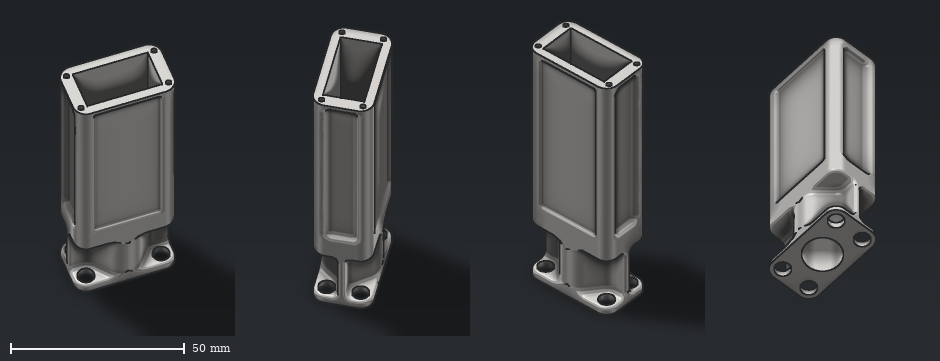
import cadquery as cq
import math

width = 18.0
depth = 31.0
height = 84.5
corner_radius = 4.0
half_width = width / 2
half_depth = depth / 2
straight_half_width = half_width - corner_radius
straight_half_depth = half_depth - corner_radius

flange_top = 2.5
waist_top = 19.5
waist_height = waist_top - flange_top
waist_fillet = 2.0
rim_fillet = 1.0
crown_radius = 6.0
flat_angle = math.radians(40)
root_radius = 4.0
fin_half_width = 1.1
edge_half_width = 0.04
cutter_overhang = 4.2

panel_bottom = 27.55
panel_top = 82.5
front_panel_width = 10.0
front_panel_depth = 2.0
front_panel_rim = 1.7
side_panel_width = 20.95
side_panel_depth = 1.0
side_panel_rim = 1.0

bore_diameter = 12.0
end_wall = 4.0
side_wall = 2.9
floor_thickness = 2.9
cavity_floor = waist_top + floor_thickness

flange_hole_diameter = 5.0
lid_hole_diameter = 1.6
lid_hole_spacing_x = 12.25
lid_hole_spacing_y = 26.9
lid_hole_depth = 8.0
drill_tip_angle = math.radians(118)
drill_tip_height = lid_hole_diameter / 2 / math.tan(drill_tip_angle / 2)

skin_tolerance = 0.01
height_margin = 0.1


def polar(center, radius, angle):
    """Point on a circle, with the angle measured from +X."""
    return (
        center[0] + radius * math.cos(angle),
        center[1] + radius * math.sin(angle),
    )


def both_sides(solid, plane):
    """The solid together with its mirror image."""
    return [solid, solid.mirror(plane)]


def waist_cutter():
    """Material removed at the +X +Y corner, with rounded floor and ceiling."""
    normal_angle = math.pi / 2 - flat_angle
    crown_center = (half_width - crown_radius, edge_half_width)
    flat_start = polar(crown_center, crown_radius, normal_angle)

    root_x = fin_half_width + root_radius
    flat_end_x = root_x - root_radius * math.cos(normal_angle)
    flat_end_y = flat_start[1] + (flat_start[0] - flat_end_x) * math.tan(flat_angle)
    root_center = (root_x, flat_end_y + root_radius * math.sin(normal_angle))
    root_middle = polar(root_center, root_radius, math.pi + normal_angle / 2)

    tip_radius = fin_half_width - edge_half_width
    tip_center = (edge_half_width, half_depth - tip_radius)
    far_x = half_width + cutter_overhang
    far_y = half_depth + cutter_overhang

    cutter = (
        cq.Workplane("XY", origin=(0, 0, flange_top))
        .moveTo(half_width, edge_half_width)
        .threePointArc(polar(crown_center, crown_radius, normal_angle / 2), flat_start)
        .lineTo(flat_end_x, flat_end_y)
        .threePointArc(root_middle, (fin_half_width, root_center[1]))
        .lineTo(fin_half_width, tip_center[1])
        .threePointArc(polar(tip_center, tip_radius, math.pi / 4), (edge_half_width, half_depth))
        .lineTo(edge_half_width, far_y)
        .lineTo(far_x, far_y)
        .lineTo(far_x, edge_half_width)
        .close()
        .extrude(waist_height)
    )
    corner_zone = cq.selectors.BoxSelector(
        (0, 0, 0), (half_width, half_depth, height), boundingbox=False
    )
    return cutter.faces("#Z").edges("#Z").edges(corner_zone).fillet(waist_fillet)


def panel_cutter(panel_width, panel_depth):
    """Rounded recess opening toward -Y, with its mouth on the plane y = 0."""
    panel_height = panel_top - panel_bottom
    floor_fillet = 0.999 * panel_depth
    return (
        cq.Workplane("XY", origin=(0, 0, panel_bottom))
        .box(panel_width, 2 * panel_depth, panel_height, centered=(True, True, False))
        .edges("|Y")
        .fillet(panel_depth)
        .faces(">Y")
        .edges()
        .fillet(floor_fillet)
    )


def on_outer_skin(edge):
    """True when the edge lies on the rounded-box outer wall."""
    for fraction in (0, 0.3, 0.5, 0.7, 1):
        point = edge.positionAt(fraction)
        corner_x = max(abs(point.x) - straight_half_width, 0)
        corner_y = max(abs(point.y) - straight_half_depth, 0)
        if abs(math.hypot(corner_x, corner_y) - corner_radius) > skin_tolerance:
            return False
    return True


def round_skin_edges(solid, z_low, z_high, radius, keep=lambda box: True):
    """Fillet the outer-wall edges that lie fully between two heights."""
    chosen = []
    for edge in solid.edges().vals():
        box = edge.BoundingBox()
        if z_low < box.zmin and box.zmax < z_high and keep(box) and on_outer_skin(edge):
            chosen.append(edge)
    return solid.newObject(chosen).fillet(radius)


def on_front_or_back(box):
    return max(abs(box.xmin), abs(box.xmax)) < straight_half_width


def on_sides(box):
    return max(abs(box.ymin), abs(box.ymax)) < straight_half_depth


body = (
    cq.Workplane("XY")
    .box(width, depth, height, centered=(True, True, False))
    .edges("|Z")
    .fillet(corner_radius)
)

for half in both_sides(waist_cutter(), "YZ"):
    for cutter in both_sides(half, "XZ"):
        body = body.cut(cutter)

wall_bottom = flange_top + waist_fillet
wall_top = waist_top - waist_fillet
body = round_skin_edges(body, flange_top - height_margin, wall_bottom + height_margin, rim_fillet)
body = round_skin_edges(body, wall_top - height_margin, waist_top + height_margin, rim_fillet)

front_panel = panel_cutter(front_panel_width, front_panel_depth).translate((0, -half_depth, 0))
for cutter in both_sides(front_panel, "XZ"):
    body = body.cut(cutter)

side_panel = (
    panel_cutter(side_panel_width, side_panel_depth)
    .rotate((0, 0, 0), (0, 0, 1), -90)
    .translate((-half_width, 0, 0))
)
for cutter in both_sides(side_panel, "YZ"):
    body = body.cut(cutter)

rim_low = panel_bottom - height_margin
rim_high = panel_top + height_margin
body = round_skin_edges(body, rim_low, rim_high, front_panel_rim, on_front_or_back)
body = round_skin_edges(body, rim_low, rim_high, side_panel_rim, on_sides)

cavity = cq.Workplane("XY", origin=(0, 0, cavity_floor)).box(
    width - 2 * side_wall,
    depth - 2 * end_wall,
    height - cavity_floor,
    centered=(True, True, False),
)
bore = cq.Workplane("XY").circle(bore_diameter / 2).extrude(height)
body = body.cut(cavity).cut(bore)

flange_holes = (
    cq.Workplane("XY")
    .rect(2 * straight_half_width, 2 * straight_half_depth, forConstruction=True)
    .vertices()
    .circle(flange_hole_diameter / 2)
    .extrude(wall_bottom)
)
body = body.cut(flange_holes)

lid_hole = (
    cq.Workplane("XZ")
    .moveTo(0, height)
    .lineTo(lid_hole_diameter / 2, height)
    .lineTo(lid_hole_diameter / 2, height - lid_hole_depth)
    .lineTo(0, height - lid_hole_depth - drill_tip_height)
    .close()
    .revolve(360, (0, 0, 0), (0, 1, 0))
)
for x_side in (-1, 1):
    for y_side in (-1, 1):
        place = (x_side * lid_hole_spacing_x / 2, y_side * lid_hole_spacing_y / 2, 0)
        body = body.cut(lid_hole.translate(place))

result = body